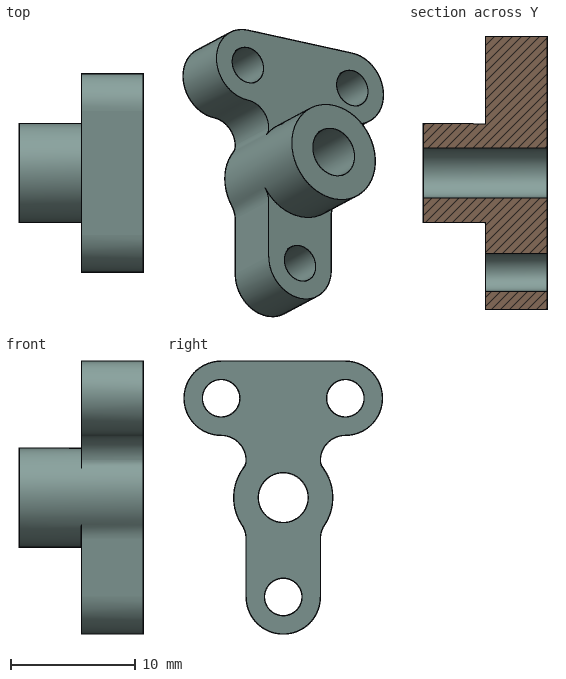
import cadquery as cq
import math

plate_thickness = 5.0
boss_length = 10.0
boss_radius = 4.0
bore_diameter = 4.0
lug_radius = 3.0
lug_hole_diameter = 3.0
lug_half_spacing = 5.0
lug_height = 8.0
upper_blend_radius = 1.0
lower_blend_radius = 2.0

stem_half_width = lug_radius
neck_radius = lug_half_spacing - stem_half_width
plate_front_x = boss_length - plate_thickness

lug_holes = [
    (-lug_half_spacing, lug_height),
    (lug_half_spacing, lug_height),
    (0, -lug_height),
]


def plate_outline():
    """T-shaped plate: two lugs on a top bar, one lug at the foot of the stem."""
    bar_top = lug_height + lug_radius
    bar_bottom = lug_height - lug_radius
    neck_z = bar_bottom - neck_radius
    neck_mid_y = lug_half_spacing - neck_radius * math.sqrt(0.5)
    neck_mid_z = neck_z + neck_radius * math.sqrt(0.5)
    lug_tip_y = lug_half_spacing + lug_radius
    return (
        cq.Workplane("YZ", origin=(plate_front_x, 0, 0))
        .moveTo(-lug_half_spacing, bar_top)
        .lineTo(lug_half_spacing, bar_top)
        .threePointArc((lug_tip_y, lug_height), (lug_half_spacing, bar_bottom))
        .threePointArc((neck_mid_y, neck_mid_z), (stem_half_width, neck_z))
        .lineTo(stem_half_width, -lug_height)
        .threePointArc((0, -lug_height - lug_radius), (-stem_half_width, -lug_height))
        .lineTo(-stem_half_width, neck_z)
        .threePointArc((-neck_mid_y, neck_mid_z), (-lug_half_spacing, bar_bottom))
        .threePointArc((-lug_tip_y, lug_height), (-lug_half_spacing, bar_top))
        .close()
    )


def boss_blend(side_y, side_z, radius):
    """Fill one corner between boss and stem with an arc tangent to both.

    side_y and side_z are +1 or -1 and choose the corner.
    """
    center_y = stem_half_width + radius
    center_distance = boss_radius + radius
    center_z = math.sqrt(center_distance**2 - center_y**2)
    boss_y = center_y * boss_radius / center_distance
    boss_z = center_z * boss_radius / center_distance
    half_angle = math.atan2(center_z, center_y) / 2
    mid_y = center_y - radius * math.cos(half_angle)
    mid_z = center_z - radius * math.sin(half_angle)
    return (
        cq.Workplane("YZ", origin=(plate_front_x, 0, 0))
        .moveTo(0, 0)
        .lineTo(side_y * boss_y, side_z * boss_z)
        .threePointArc(
            (side_y * mid_y, side_z * mid_z),
            (side_y * stem_half_width, side_z * center_z),
        )
        .lineTo(0, side_z * center_z)
        .close()
        .extrude(plate_thickness)
    )


plate = plate_outline().extrude(plate_thickness)
boss = cq.Workplane("YZ").circle(boss_radius).extrude(boss_length)
body = plate.union(boss)
for side_y in (-1, 1):
    body = body.union(boss_blend(side_y, 1, upper_blend_radius))
    body = body.union(boss_blend(side_y, -1, lower_blend_radius))

bore = cq.Workplane("YZ").circle(bore_diameter / 2).extrude(boss_length)
lug_drills = (
    cq.Workplane("YZ").pushPoints(lug_holes).circle(lug_hole_diameter / 2).extrude(boss_length)
)
result = body.cut(bore).cut(lug_drills)